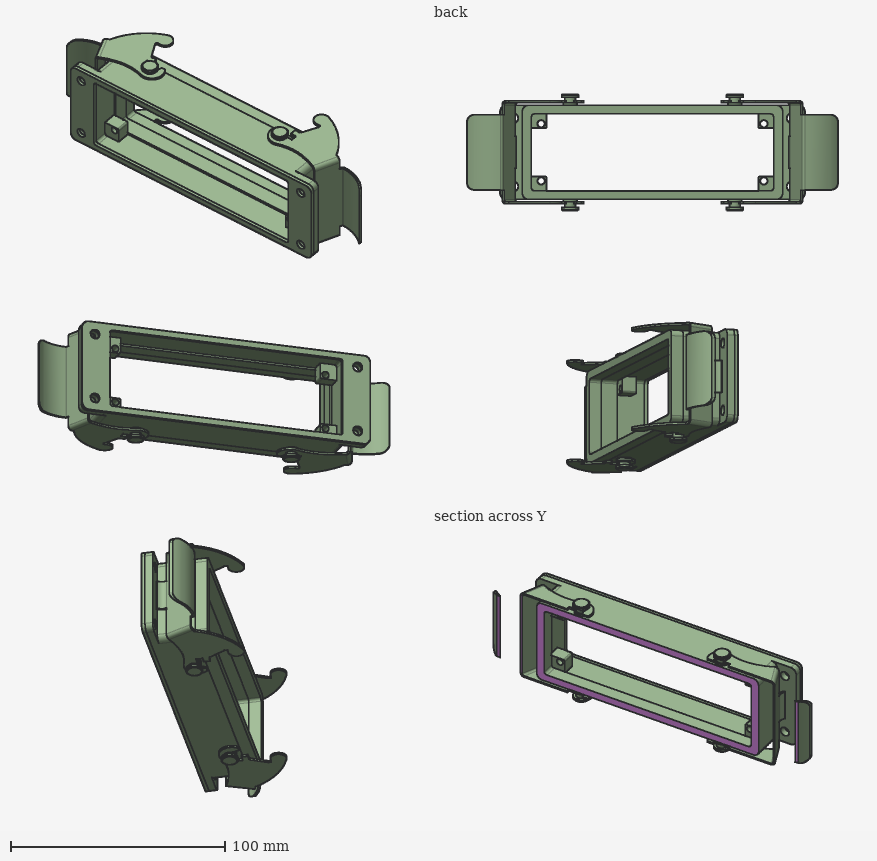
import cadquery as cq
import math


flange_length = 142.5
flange_height = 44.0
front_seal_thickness = 1.7
flange_back = 5.4
corner_radius = 3.1
mount_hole_diameter = 4.5
mount_hole_x = 65.0
mount_hole_z = 16.0

body_length = 121.7
body_back = 23.4
rear_seal_back = 29.3
opening_length = 115.1
opening_height = 38.0
opening_radius = 1.4
ledge_width = 1.0
ledge_y = 15.5

block_front = 8.5
block_inner_x = 49.5
block_inner_z = 11.3
block_corner_radius = 0.9
screw_hole_diameter = 3.3
screw_hole_x = 52.0
screw_hole_z = 13.4

pin_x = 38.5
pin_y = 18.2
pin_diameter = 5.2
collar_diameter = 6.6
head_diameter = 8.0
head_chamfer = 0.5
head_bottom_z = 25.7
pin_top_z = 27.2

sheet = 1.0
lever_half_width = 24.1
web_bend_radius = 2.0
web_tilt = 22.8
web_length = 13.5
web_foot = (-65.0, 10.5)
channel_reach = 69.4

shoulder_width = 3.5
foot_edge_length = 6.2
foot_blend_end = (-54.8, 14.2)
belly_top = (-49.0, 14.9)
eye_center = (-38.3, 19.5)
eye_radius = 6.2
eye_start = (-40.2, 13.5)
hook_center = (-46.3, 39.9)
hook_radius = 3.8
hook_tangent_angle = 115
back_middle = (-59.6, 35.5)
throat_x = -48.4
throat_y = 34.7
tongue_root = (-44.4, 26.9)
tongue_top = 26.4
tongue_start_x = -43.5
tongue_tip_x = -41.1
notch_top = 23.2
notch_bottom = 20.1
notch_left_x = -44.0
notch_right_x = -36.5
eye_lip_x = -35.4

grip_width = 35.2
grip_tip_x = -86.7
grip_root_rise = 14.7
grip_bend_radius = 0.3
grip_radius = 20.8
grip_corner_radius = 3.5
tab_width = 15.0
tab_radius = 3.8
tab_end_angle = -45

housing_half_height = flange_height / 2
lever_inner_z = lever_half_width - sheet

tilt = math.radians(web_tilt)
web_up = (-math.sin(tilt), math.cos(tilt))
web_inward = (math.cos(tilt), math.sin(tilt))


def web_point(up, inward):
    """XY point measured along and through the web from its outer foot."""
    x = web_foot[0] + up * web_up[0] + inward * web_inward[0]
    y = web_foot[1] + up * web_up[1] + inward * web_inward[1]
    return (x, y)


def on_circle(center, radius, degrees):
    """XY point on a circle at an angle from +X."""
    angle = math.radians(degrees)
    return (center[0] + radius * math.cos(angle), center[1] + radius * math.sin(angle))


def block_y(length, height, radius, front, back):
    """Block centred on the Y axis with its edges along Y rounded."""
    blank = cq.Workplane("XY").box(length, back - front, height)
    return blank.edges("|Y").fillet(radius).translate((0, (front + back) / 2, 0))


def holes_y(diameter, x, z, front, back):
    """Four round cutters along Y, one in each quadrant."""
    plane = cq.Workplane("XZ", origin=(0, front, 0))
    centers = plane.rect(2 * x, 2 * z, forConstruction=True).vertices()
    return centers.circle(diameter / 2).extrude(front - back)


def front_opening(front, back):
    return block_y(opening_length, opening_height, opening_radius, front, back)


def rear_opening(front, back):
    length = opening_length - 2 * ledge_width
    height = opening_height - 2 * ledge_width
    return block_y(length, height, opening_radius, front, back)


def mount_holes():
    return holes_y(mount_hole_diameter, mount_hole_x, mount_hole_z, 0, flange_back)


def make_front_seal():
    plate = block_y(flange_length, flange_height, corner_radius, 0, front_seal_thickness)
    return plate.cut(front_opening(0, front_seal_thickness)).cut(mount_holes())


def make_rear_seal():
    ring = block_y(body_length, flange_height, corner_radius, body_back, rear_seal_back)
    return ring.cut(rear_opening(body_back, rear_seal_back))


def make_screw_block(side_x, side_z):
    """One corner block, reaching into the walls around the opening."""
    size_x = opening_length / 2 + ledge_width - block_inner_x
    size_z = opening_height / 2 + ledge_width - block_inner_z
    depth = ledge_y - block_front
    block = cq.Workplane("XY").box(size_x, depth, size_z)
    inner_corner = (-side_x * size_x, 0, -side_z * size_z)
    inner_edge = block.edges("|Y").edges(cq.NearestToPointSelector(inner_corner))
    block = inner_edge.fillet(block_corner_radius)
    x = side_x * (block_inner_x + size_x / 2)
    z = side_z * (block_inner_z + size_z / 2)
    return block.translate((x, block_front + depth / 2, z))


def make_housing():
    flange = block_y(flange_length, flange_height, corner_radius, front_seal_thickness, flange_back)
    body = block_y(body_length, flange_height, corner_radius, front_seal_thickness, body_back)
    housing = flange.union(body)
    housing = housing.cut(front_opening(front_seal_thickness, ledge_y))
    housing = housing.cut(rear_opening(ledge_y, body_back))
    for side_x in (-1, 1):
        for side_z in (-1, 1):
            housing = housing.union(make_screw_block(side_x, side_z))
    screw_holes = holes_y(screw_hole_diameter, screw_hole_x, screw_hole_z, block_front, ledge_y)
    return housing.cut(screw_holes).cut(mount_holes())


def make_side_outline():
    """Lever seen along Z: web line, hook, tongue, notch and pivot eye."""
    lip_x = eye_center[0] + math.sqrt(eye_radius**2 - (notch_top - eye_center[1]) ** 2)
    return (
        cq.Workplane("XY", origin=(0, 0, -lever_half_width))
        .moveTo(*web_point(0, 0))
        .lineTo(*web_point(web_length, 0))
        .lineTo(*web_point(web_length, shoulder_width))
        .threePointArc(back_middle, on_circle(hook_center, hook_radius, hook_tangent_angle))
        .threePointArc(
            on_circle(hook_center, hook_radius, 0),
            on_circle(hook_center, hook_radius, -90),
        )
        .lineTo(throat_x, hook_center[1] - hook_radius)
        .lineTo(throat_x, throat_y)
        .lineTo(*tongue_root)
        .lineTo(tongue_start_x, tongue_top)
        .lineTo(tongue_tip_x, tongue_top)
        .lineTo(tongue_tip_x, notch_top)
        .lineTo(notch_left_x, notch_top)
        .lineTo(notch_left_x, notch_bottom)
        .lineTo(notch_right_x, notch_bottom)
        .lineTo(eye_lip_x, notch_top)
        .lineTo(lip_x, notch_top)
        .threePointArc(on_circle(eye_center, eye_radius, -45), eye_start)
        .threePointArc(belly_top, foot_blend_end)
        .lineTo(*web_point(0, foot_edge_length))
        .close()
        .extrude(2 * lever_half_width)
    )


def make_channel():
    """Bent sheet channel, open toward the housing, running along the tilted web."""
    plane = cq.Plane(origin=(*web_foot, 0), xDir=(*web_inward, 0), normal=(*web_up, 0))
    length = 2 * channel_reach

    def bar(start, half_width, radius):
        blank = cq.Workplane(plane).center(start + channel_reach / 2, 0)
        blank = blank.rect(channel_reach, 2 * half_width).extrude(length / 2, both=True)
        return blank.edges(cq.ParallelDirSelector(plane.zDir)).fillet(radius)

    outside = bar(0, lever_half_width, web_bend_radius)
    inside = bar(sheet, lever_inner_z, web_bend_radius - sheet)
    return outside.cut(inside)


def make_grip():
    """Finger grip: the web sheet carried upward, bent outward and curved down to its tip."""
    bend_center = web_point(grip_root_rise, -grip_bend_radius)
    outer_bend = grip_bend_radius + sheet
    inner_radius = grip_radius - sheet
    arc_center = (bend_center[0], bend_center[1] + outer_bend - grip_radius)
    tip_run = arc_center[0] - grip_tip_x
    outer_tip_angle = 180 - math.degrees(math.acos(tip_run / grip_radius))
    inner_tip_angle = 180 - math.degrees(math.acos(tip_run / inner_radius))
    bend_middle = (90 + web_tilt) / 2
    grip = (
        cq.Workplane("XY", origin=(0, 0, -grip_width / 2))
        .moveTo(*web_point(web_length / 2, 0))
        .lineTo(*web_point(grip_root_rise, 0))
        .threePointArc(
            on_circle(bend_center, grip_bend_radius, bend_middle),
            on_circle(bend_center, grip_bend_radius, 90),
        )
        .threePointArc(
            on_circle(arc_center, inner_radius, (90 + inner_tip_angle) / 2),
            on_circle(arc_center, inner_radius, inner_tip_angle),
        )
        .lineTo(*on_circle(arc_center, grip_radius, outer_tip_angle))
        .threePointArc(
            on_circle(arc_center, grip_radius, (90 + outer_tip_angle) / 2),
            on_circle(arc_center, grip_radius, 90),
        )
        .threePointArc(
            on_circle(bend_center, outer_bend, bend_middle),
            web_point(grip_root_rise, sheet),
        )
        .lineTo(*web_point(web_length / 2, sheet))
        .close()
        .extrude(grip_width)
    )
    rounded_tip = block_y(2 * abs(grip_tip_x), grip_width, grip_corner_radius, 0, rear_seal_back)
    return grip.intersect(rounded_tip)


def make_tab():
    """Stop tab: the web sheet carried downward and curled outward."""
    center = web_point(0, -tab_radius)
    outer_radius = tab_radius + sheet
    middle_angle = (web_tilt + tab_end_angle) / 2
    return (
        cq.Workplane("XY", origin=(0, 0, -tab_width / 2))
        .moveTo(*web_point(0, 0))
        .threePointArc(
            on_circle(center, tab_radius, middle_angle),
            on_circle(center, tab_radius, tab_end_angle),
        )
        .lineTo(*on_circle(center, outer_radius, tab_end_angle))
        .threePointArc(on_circle(center, outer_radius, middle_angle), web_point(0, sheet))
        .close()
        .extrude(tab_width)
    )


def make_lever():
    """The -X lever as one bent sheet, with a pin hole through both side plates."""
    lever = make_side_outline().intersect(make_channel())
    lever = lever.union(make_grip()).union(make_tab())
    pin_hole = cq.Workplane("XY").center(-pin_x, pin_y).circle(pin_diameter / 2)
    pin_hole = pin_hole.extrude(lever_half_width, both=True)
    return lever.cut(pin_hole)


def make_pin():
    """Pivot pin on the Z axis: collar on the housing, neck through the lever, flat head."""
    collar_height = lever_inner_z - housing_half_height
    neck_height = head_bottom_z - lever_inner_z
    head_height = pin_top_z - head_bottom_z
    pin = cq.Workplane("XY", origin=(0, 0, housing_half_height))
    pin = pin.circle(collar_diameter / 2).extrude(collar_height)
    pin = pin.faces(">Z").workplane().circle(pin_diameter / 2).extrude(neck_height)
    pin = pin.faces(">Z").workplane().circle(head_diameter / 2).extrude(head_height)
    return pin.faces(">Z").edges().chamfer(head_chamfer)


housing = make_housing()
front_seal = make_front_seal()
rear_seal = make_rear_seal()
left_lever = make_lever()
levers = [left_lever, left_lever.mirror("YZ")]

pins = []
for side in (-1, 1):
    upper_pin = make_pin().translate((side * pin_x, pin_y, 0))
    pins.append(upper_pin)
    pins.append(upper_pin.mirror("XY"))

bodies = [housing, front_seal, rear_seal, *levers, *pins]
result = cq.Compound.makeCompound([body.val() for body in bodies])